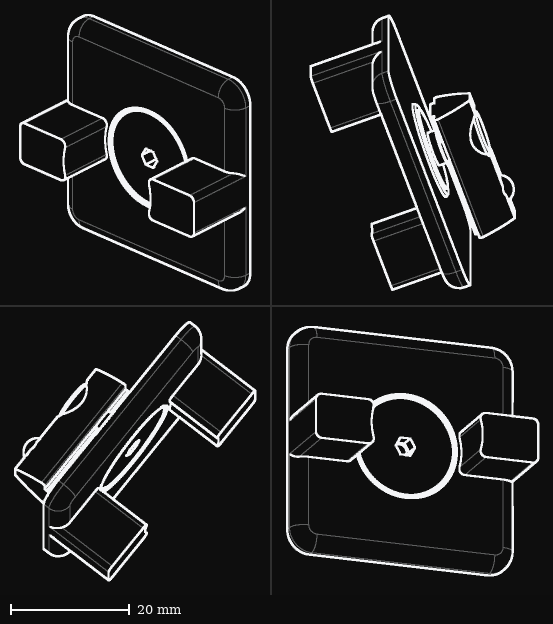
import cadquery as cq
import math


plate_side = 40.0
plate_thickness = 3.7
plate_corner_radius = 4.0
plate_edge_radius = 2.5

leg_reach = 14.0
leg_height = 7.85
leg_corner_radius = 1.0
leg_inner_arc_radius = 10.0

head_radius = 8.8
head_recess = 0.2
head_chamfer = 0.25
bore_radius = 8.95
bore_chamfer = 0.25
groove_depth = 0.5

hex_across_flats = 3.0
hex_depth = 2.8
hex_cone_radius = 1.25
hex_cone_depth = 0.7

flange_radius = 8.35
flange_height = 0.45
flange_chamfer = 0.3
washer_radius = 7.1
washer_top = 0.7
neck_radius = 2.9

collar_radius = 4.1
collar_bottom = 2.1
collar_rim_bottom = 2.3
collar_bottom_chamfer = 0.1
collar_top_chamfer = 0.45

nut_left = -15.55
nut_right = 6.5
nut_top = 9.6
nut_top_half_width = 2.1
nut_flank_y = 7.3
nut_flank_half_width = 4.5
nut_wing_y = 3.25
nut_wing_half_width = 7.05
nut_wing_tip_radius = 0.5
nut_rib_bottom = 2.5
nut_rib_half_width = 3.9
nut_rib_chamfer = 0.25
nut_hole_radius = 4.25
nut_hole_chamfer = 0.3
nut_seat_top = 7.0

ball_radius = 2.45
ball_x = -10.5
ball_top = 11.1


def turned(points):
    """Revolve a (radius, y) outline about the Y axis."""
    return cq.Workplane("XY").polyline(points).close().revolve(360, (0, 0, 0), (0, 1, 0))


def make_plate():
    plate = cq.Workplane("XZ").rect(plate_side, plate_side).extrude(plate_thickness)
    plate = plate.edges("|Y").fillet(plate_corner_radius)
    return plate.faces("<Y").edges().fillet(plate_edge_radius)


def make_leg():
    """Right-hand leg; its inner side is a hollow arc centred on the screw axis."""
    leg_length = plate_side / 2
    leg = (
        cq.Workplane("XZ")
        .center(leg_length / 2, 0)
        .rect(leg_length, leg_height)
        .extrude(leg_reach)
        .cut(cq.Workplane("XZ").circle(leg_inner_arc_radius).extrude(leg_reach))
    )
    return leg.edges("|Y").fillet(leg_corner_radius)


def make_head_recess():
    """Shallow recess above the screw head and the narrow ring groove around it."""
    front = -plate_thickness
    head_face = front + head_recess
    return turned([
        (0, front),
        (bore_radius + bore_chamfer, front),
        (bore_radius, front + bore_chamfer),
        (bore_radius, front + groove_depth),
        (head_radius, front + groove_depth),
        (head_radius, head_face + head_chamfer),
        (head_radius - head_chamfer, head_face),
        (0, head_face),
    ])


def make_hex_socket():
    hex_across_corners = hex_across_flats / math.cos(math.pi / 6)
    head_face = head_recess - plate_thickness
    floor = head_face + hex_depth
    socket = (
        cq.Workplane("XZ", origin=(0, floor, 0))
        .polygon(6, hex_across_corners)
        .extrude(hex_depth)
    )
    return socket.union(turned([(0, floor), (hex_cone_radius, floor), (0, floor + hex_cone_depth)]))


def make_screw_and_washer():
    """Washer flange, washer step, neck and collar as one turned body."""
    return turned([
        (0, 0),
        (flange_radius, 0),
        (flange_radius - flange_chamfer, flange_height),
        (washer_radius, flange_height),
        (washer_radius, washer_top),
        (neck_radius, washer_top),
        (neck_radius, collar_bottom),
        (collar_radius - collar_bottom_chamfer, collar_rim_bottom),
        (collar_radius, collar_rim_bottom + collar_bottom_chamfer),
        (collar_radius, nut_top - collar_top_chamfer),
        (collar_radius - collar_top_chamfer, nut_top),
        (0, nut_top),
    ])


def make_nut():
    """Slot nut; its hole grips the collar between the seat ends and clears it beyond them."""
    nut = (
        cq.Workplane("YZ", origin=(nut_left, 0, 0))
        .moveTo(nut_top, -nut_top_half_width)
        .lineTo(nut_top, nut_top_half_width)
        .threePointArc((nut_flank_y, nut_flank_half_width), (nut_wing_y, nut_wing_half_width))
        .lineTo(nut_wing_y, nut_rib_half_width)
        .lineTo(nut_rib_bottom + nut_rib_chamfer, nut_rib_half_width)
        .lineTo(nut_rib_bottom, nut_rib_half_width - nut_rib_chamfer)
        .lineTo(nut_rib_bottom, nut_rib_chamfer - nut_rib_half_width)
        .lineTo(nut_rib_bottom + nut_rib_chamfer, -nut_rib_half_width)
        .lineTo(nut_wing_y, -nut_rib_half_width)
        .lineTo(nut_wing_y, -nut_wing_half_width)
        .threePointArc((nut_flank_y, -nut_flank_half_width), (nut_top, -nut_top_half_width))
        .close()
        .extrude(nut_right - nut_left)
    )
    nut = nut.edges("|X and (>Z or <Z)").fillet(nut_wing_tip_radius)
    collar_hole = turned([
        (0, nut_rib_bottom),
        (nut_hole_radius, nut_rib_bottom),
        (nut_hole_radius, nut_wing_y),
        (collar_radius, nut_wing_y),
        (collar_radius, nut_seat_top),
        (nut_hole_radius, nut_seat_top),
        (nut_hole_radius, nut_top - nut_hole_chamfer),
        (nut_hole_radius + nut_hole_chamfer, nut_top),
        (0, nut_top),
    ])
    return nut.cut(collar_hole)


def make_ball():
    return cq.Workplane("XY").sphere(ball_radius).translate((ball_x, ball_top - ball_radius, 0))


right_leg = make_leg()
left_leg = right_leg.mirror("YZ")

result = (
    make_plate()
    .union(right_leg)
    .union(left_leg)
    .cut(make_head_recess())
    .union(make_screw_and_washer())
    .cut(make_hex_socket())
    .union(make_nut())
    .union(make_ball())
)